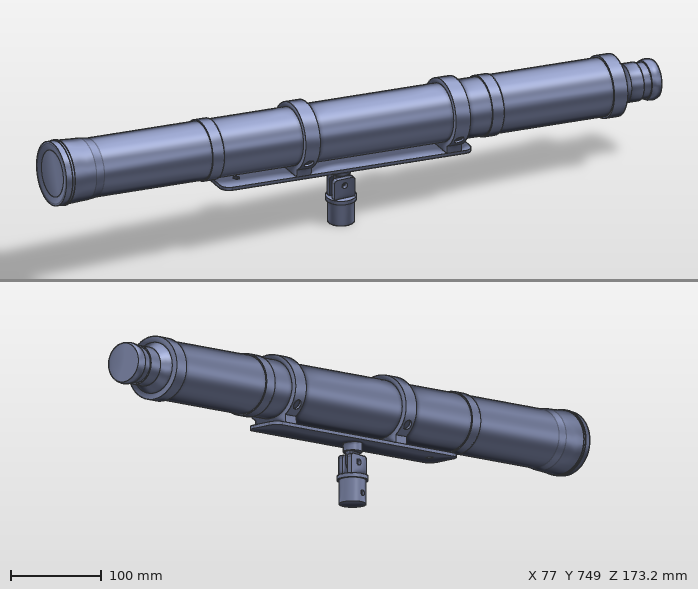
import cadquery as cq
import math

OVERALL_LENGTH = 749.0
TILT = 3.8
AXIS_HEIGHT = 113.0

TUBE_RADIUS = 33.0
BAND_RADIUS = 34.5
EYEPIECE_RADIUS = 22.0
EYECUP_RADIUS = 23.0
EYECUP_EDGE_RADIUS = 22.0
EYE_GROOVE_RADIUS = 20.0
EYECUP_END = 375.0
EYE_GROOVE_END = 365.5
EYEPIECE_END = 350.0
REAR_COLLAR = (321.0, 338.0)
EYE_CONE_RADIUS = 28.5
REAR_COLLAR_RADIUS = 35.0
MIDDLE_BAND = (171.0, 185.0)
FRONT_BAND = (-177.0, -162.5)
FLARE_START = -311.0
FLARE_END = -321.0
LIP_RADIUS = 37.0
LIP = (-352.0, -349.0)
FRONT_RADIUS = 36.0
FRONT_END = -359.5

LENS_RADIUS = 26.0
LENS_THICKNESS = 4.0
DISH_RADIUS = 34.0
DISH_DEPTH = 1.1

PLATE_LENGTH = 311.0
PLATE_WIDTH = 43.5
PLATE_THICKNESS = 4.0
PLATE_DROP = 40.5
PLATE_CORNER_RADIUS = 10.5
PLATE_CENTRE = 1.5
PLATE_HOLE_DIAMETER = 7.5
PLATE_HOLE_STATION = -127.0
RING_DIAMETER = 77.0
RING_WIDTH = 18.0
RING_STATIONS = (-55.0, 132.0)
SCREW_HOLE_DIAMETER = 11.0
SCREW_HOLE_DEPTH = 3.0
SCREW_HOLE_ANGLE = 34.0

SPIGOT_RADIUS = 15.0
SPIGOT_HEIGHT = 27.0
FLANGE_RADIUS = 17.0
FLANGE_THICKNESS = 4.5
PRONG_TOP = 55.0
PRONG_DEPTH = 25.5
PRONG_SPAN = 19.0
PRONG_CORNER_RADIUS = 4.0
TONGUE_THICKNESS = 7.0
TONGUE_WIDTH = 16.0
PIVOT_HEIGHT = 46.5
PIVOT_DIAMETER = 7.0
HEAD_RADIUS = 10.5
HEAD_BOTTOM = 59.0
SIDE_HOLE_DIAMETER = 6.0
SIDE_HOLE_HEIGHT = 10.5
SIDE_HOLE_DEPTH = 4.0

ring_radius = RING_DIAMETER / 2
flange_top = SPIGOT_HEIGHT + FLANGE_THICKNESS
rim_overhang = (FRONT_RADIUS + EYECUP_EDGE_RADIUS) * math.sin(math.radians(TILT))
scope_length = (OVERALL_LENGTH - rim_overhang) / math.cos(math.radians(TILT))
eye_end = FRONT_END + scope_length
plate_underside = -PLATE_DROP - PLATE_THICKNESS


def tilted(body):
    """Move a body from the level scope frame, with the axis on Y, to its tilted place."""
    return body.rotate((0, 0, 0), (1, 0, 0), -TILT).translate((0, 0, AXIS_HEIGHT))


def make_scope():
    """Solid of revolution with a rounded eyecup rim and a seat for the lens."""
    eyecup_middle = (eye_end + EYECUP_END) / 2
    outline = [
        (EYE_GROOVE_RADIUS, EYECUP_END),
        (EYE_GROOVE_RADIUS, EYE_GROOVE_END),
        (EYEPIECE_RADIUS, EYE_GROOVE_END),
        (EYEPIECE_RADIUS, EYEPIECE_END),
        (EYE_CONE_RADIUS, REAR_COLLAR[1]),
        (REAR_COLLAR_RADIUS, REAR_COLLAR[1]),
        (REAR_COLLAR_RADIUS, REAR_COLLAR[0]),
        (TUBE_RADIUS, REAR_COLLAR[0]),
        (TUBE_RADIUS, MIDDLE_BAND[1]),
        (BAND_RADIUS, MIDDLE_BAND[1]),
        (BAND_RADIUS, MIDDLE_BAND[0]),
        (TUBE_RADIUS, MIDDLE_BAND[0]),
        (TUBE_RADIUS, FRONT_BAND[1]),
        (BAND_RADIUS, FRONT_BAND[1]),
        (BAND_RADIUS, FRONT_BAND[0]),
        (TUBE_RADIUS, FRONT_BAND[0]),
        (TUBE_RADIUS, FLARE_START),
        (BAND_RADIUS, FLARE_END),
        (FRONT_RADIUS, LIP[1]),
        (LIP_RADIUS, LIP[1]),
        (LIP_RADIUS, LIP[0]),
        (FRONT_RADIUS, LIP[0]),
        (FRONT_RADIUS, FRONT_END),
        (DISH_RADIUS, FRONT_END),
        (LENS_RADIUS, FRONT_END + DISH_DEPTH),
        (LENS_RADIUS, FRONT_END + DISH_DEPTH + LENS_THICKNESS),
        (0, FRONT_END + DISH_DEPTH + LENS_THICKNESS),
    ]
    profile = cq.Workplane("XY").moveTo(0, eye_end).lineTo(EYECUP_EDGE_RADIUS, eye_end)
    profile = profile.threePointArc((EYECUP_RADIUS, eyecup_middle), (EYECUP_EDGE_RADIUS, EYECUP_END))
    for point in outline:
        profile = profile.lineTo(*point)
    return profile.close().revolve(360, (0, 0, 0), (0, 1, 0))


def cylinder_along_y(radius, start, length):
    return cq.Workplane("XZ", origin=(0, start, 0)).circle(radius).extrude(-length)


def make_lens():
    return cylinder_along_y(LENS_RADIUS, FRONT_END + DISH_DEPTH, LENS_THICKNESS)


def make_ring(station):
    """Ring around the tube with a square foot standing on the plate."""
    start = station - RING_WIDTH / 2
    foot = cq.Workplane("XY", origin=(0, station, -PLATE_DROP))
    foot = foot.box(PLATE_WIDTH, RING_WIDTH, PLATE_DROP, centered=(True, True, False))
    ring = cylinder_along_y(ring_radius, start, RING_WIDTH).union(foot)
    ring = ring.cut(cylinder_along_y(TUBE_RADIUS, start, RING_WIDTH))
    angle = math.radians(SCREW_HOLE_ANGLE)
    for side in (-1, 1):
        outward = cq.Vector(side * math.cos(angle), 0, -math.sin(angle))
        floor = cq.Vector(0, station, 0) + outward * (ring_radius - SCREW_HOLE_DEPTH)
        screw_hole = cq.Solid.makeCylinder(SCREW_HOLE_DIAMETER / 2, ring_radius, floor, outward)
        ring = ring.cut(cq.Workplane(screw_hole))
    return ring


def make_plate():
    """Flat bar with rounded corners and one hole near the objective end."""
    plate = cq.Workplane("XY", origin=(0, PLATE_CENTRE, plate_underside))
    plate = plate.box(PLATE_WIDTH, PLATE_LENGTH, PLATE_THICKNESS, centered=(True, True, False))
    plate = plate.edges("|Z").fillet(PLATE_CORNER_RADIUS)
    hole = cq.Workplane("XY", origin=(0, PLATE_HOLE_STATION, plate_underside))
    return plate.cut(hole.circle(PLATE_HOLE_DIAMETER / 2).extrude(PLATE_THICKNESS))


def pivot_hole():
    hole = cq.Workplane("YZ").center(0, PIVOT_HEIGHT).circle(PIVOT_DIAMETER / 2)
    return hole.extrude(PRONG_SPAN, both=True)


def make_spigot():
    spigot = cq.Workplane("XY").circle(SPIGOT_RADIUS).extrude(SPIGOT_HEIGHT)
    spigot = spigot.faces(">Z").workplane().circle(FLANGE_RADIUS).extrude(FLANGE_THICKNESS)
    fork = cq.Workplane("XY", origin=(0, 0, flange_top))
    fork = fork.box(PRONG_SPAN, PRONG_DEPTH, PRONG_TOP - flange_top, centered=(True, True, False))
    fork = fork.edges("|X and >Z").fillet(PRONG_CORNER_RADIUS)
    slot = cq.Workplane("XY", origin=(0, 0, flange_top))
    slot = slot.box(TONGUE_THICKNESS, PRONG_DEPTH, PRONG_TOP, centered=(True, True, False))
    spigot = spigot.union(fork.cut(slot))
    spigot = spigot.cut(pivot_hole())
    side_hole = cq.Workplane("YZ", origin=(-SPIGOT_RADIUS, 0, SIDE_HOLE_HEIGHT))
    return spigot.cut(side_hole.circle(SIDE_HOLE_DIAMETER / 2).extrude(SIDE_HOLE_DEPTH))


def make_swivel_head():
    """Round-ended tongue in the fork, under a round head trimmed to the slope of the plate."""
    tongue = cq.Workplane("YZ").center(0, PIVOT_HEIGHT).circle(TONGUE_WIDTH / 2)
    tongue = tongue.extrude(TONGUE_THICKNESS / 2, both=True)
    neck_height = HEAD_BOTTOM - PIVOT_HEIGHT
    neck = cq.Workplane("XY", origin=(0, 0, PIVOT_HEIGHT))
    neck = neck.box(TONGUE_THICKNESS, TONGUE_WIDTH, neck_height, centered=(True, True, False))
    head = cq.Workplane("XY", origin=(0, 0, HEAD_BOTTOM)).circle(HEAD_RADIUS)
    head = head.extrude(AXIS_HEIGHT - HEAD_BOTTOM)
    trim = cq.Workplane("XY", origin=(0, 0, plate_underside))
    trim = trim.box(PLATE_WIDTH, PLATE_LENGTH, AXIS_HEIGHT, centered=(True, True, False))
    head = head.cut(tilted(trim))
    return tongue.union(neck).union(head).cut(pivot_hole())


scope = tilted(make_scope())
lens = tilted(make_lens())
rings = [tilted(make_ring(station)) for station in RING_STATIONS]
plate = tilted(make_plate())
spigot = make_spigot()
swivel_head = make_swivel_head()

result = cq.Compound.makeCompound(
    [
        scope.val(),
        lens.val(),
        *[ring.val() for ring in rings],
        plate.val(),
        spigot.val(),
        swivel_head.val(),
    ]
)